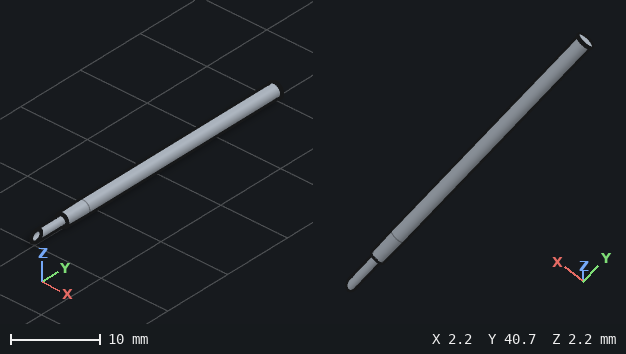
import cadquery as cq

total_length = 40.7
body_diameter = 2.0

rim_diameter = 2.2
rim_length = 0.2

nose_length = 3.55
nose_diameter = 1.87

cup_length = 4.95
cup_diameter = 1.3
cup_bore_diameter = 0.98
cup_cut_length = cup_diameter

tip_y = -total_length / 2
rear_y = total_length / 2
nose_front_y = tip_y + cup_length
nose_rear_y = nose_front_y + nose_length
rim_front_y = rear_y - rim_length


def make_turned_body():
    """Revolve the half outline (place along Y, radius) around the Y axis."""
    return (
        cq.Workplane("YZ")
        .moveTo(tip_y, 0)
        .lineTo(tip_y, cup_diameter / 2)
        .lineTo(nose_front_y, cup_diameter / 2)
        .lineTo(nose_front_y, nose_diameter / 2)
        .lineTo(nose_rear_y, body_diameter / 2)
        .lineTo(rim_front_y, body_diameter / 2)
        .lineTo(rim_front_y, rim_diameter / 2)
        .lineTo(rear_y, rim_diameter / 2)
        .lineTo(rear_y, 0)
        .close()
        .revolve(360, (0, 0, 0), (1, 0, 0))
    )


def make_cup_bore():
    """Blind bore of the solder cup, ending level with the nose face."""
    return (
        cq.Workplane("XZ", origin=(0, tip_y, 0))
        .circle(cup_bore_diameter / 2)
        .extrude(-cup_length)
    )


def make_slant_cut():
    """Wedge that opens the cup upwards and leaves its point at the bottom."""
    cup_radius = cup_diameter / 2
    return (
        cq.Workplane("YZ")
        .moveTo(tip_y, -cup_radius)
        .lineTo(tip_y + cup_cut_length, cup_radius)
        .lineTo(tip_y, cup_radius)
        .close()
        .extrude(cup_diameter, both=True)
    )


result = make_turned_body().cut(make_cup_bore()).cut(make_slant_cut())